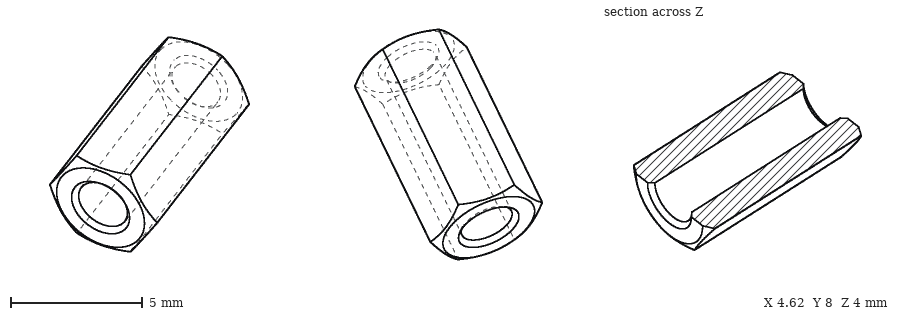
import cadquery as cq
import math

length = 8.0
across_flats = 4.0
across_corners = across_flats / math.cos(math.radians(30))

end_face_diameter = 3.78
chamfer_angle = 30.0

bore_diameter = 2.1
countersink_diameter = 2.5
countersink_angle = 45.0

half_length = length / 2


def hexagonal_bar():
    """Hexagonal prism centred on the origin, with flats facing up and down."""
    return (
        cq.Workplane("XZ")
        .polygon(6, across_corners)
        .extrude(half_length, both=True)
    )


def turned_body(middle_radius, end_radius, angle):
    """Cylinder about Y whose radius changes conically to end_radius at both ends."""
    cone_depth = abs(middle_radius - end_radius) * math.tan(math.radians(angle))
    cone_start = half_length - cone_depth
    return (
        cq.Workplane("XY")
        .moveTo(0, -half_length)
        .lineTo(end_radius, -half_length)
        .lineTo(middle_radius, -cone_start)
        .lineTo(middle_radius, cone_start)
        .lineTo(end_radius, half_length)
        .lineTo(0, half_length)
        .close()
        .revolve(360, (0, 0, 0), (0, 1, 0))
    )


envelope_clearance = 0.08
envelope_radius = across_corners / 2 + envelope_clearance
chamfer_envelope = turned_body(envelope_radius, end_face_diameter / 2, chamfer_angle)
bore = turned_body(bore_diameter / 2, countersink_diameter / 2, countersink_angle)

result = hexagonal_bar().intersect(chamfer_envelope).cut(bore)